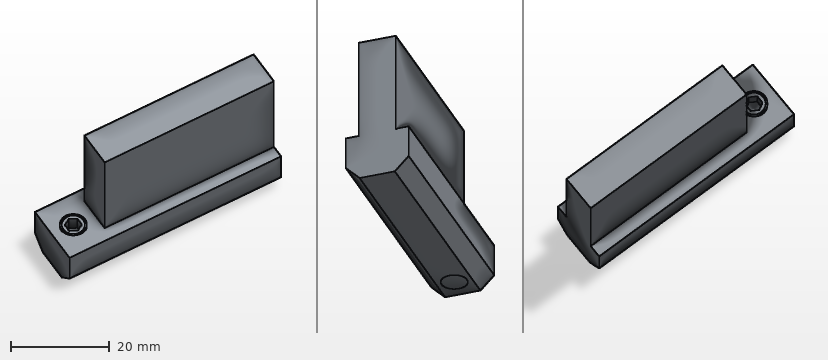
import cadquery as cq
import math

base_width = 13.6
base_length = 50.0
base_height = 10.0
bevel = 3.0

rib_width = 8.0
rib_length = 40.0
total_height = 32.0

screw_diameter = 5.5
screw_y = 5.0
screw_chamfer = 0.4
hex_across_flats = 3.0
hex_depth = 3.0
drill_point_angle = 120.0


def make_holder():
    """Bevelled bar with its rib and the through hole for the set screw."""
    base = (
        cq.Workplane("XY")
        .box(base_width, base_length, base_height, centered=(True, False, False))
        .faces("<Z")
        .edges("|Y")
        .chamfer(bevel)
    )
    rib = (
        cq.Workplane("XY")
        .box(rib_width, rib_length, total_height - base_height, centered=(True, False, False))
        .translate((0, base_length - rib_length, base_height))
    )
    screw_hole = (
        cq.Workplane("XY")
        .center(0, screw_y)
        .circle(screw_diameter / 2)
        .extrude(base_height)
    )
    return base.union(rib).cut(screw_hole)


def make_socket():
    """Hexagonal socket with a conical drill point at its bottom, to be cut from the screw."""
    hex_circumradius = hex_across_flats / math.sqrt(3)
    point_depth = hex_circumradius / math.tan(math.radians(drill_point_angle / 2))
    floor_z = base_height - hex_depth
    hexagon = (
        cq.Workplane("XY", origin=(0, screw_y, floor_z - point_depth))
        .polygon(6, 2 * hex_circumradius)
        .extrude(hex_depth + point_depth)
    )
    bore = (
        cq.Workplane("XZ", origin=(0, screw_y, 0))
        .moveTo(0, base_height)
        .lineTo(hex_circumradius, base_height)
        .lineTo(hex_circumradius, floor_z)
        .lineTo(0, floor_z - point_depth)
        .close()
        .revolve(360, (0, 0, 0), (0, 1, 0))
    )
    return hexagon.intersect(bore)


def make_screw():
    """Headless screw with a chamfered top rim and a hexagonal socket."""
    body = (
        cq.Workplane("XY")
        .center(0, screw_y)
        .circle(screw_diameter / 2)
        .extrude(base_height)
        .faces(">Z")
        .chamfer(screw_chamfer)
    )
    return body.cut(make_socket())


holder = make_holder()
set_screw = make_screw()
result = cq.Compound.makeCompound([holder.val(), set_screw.val()])